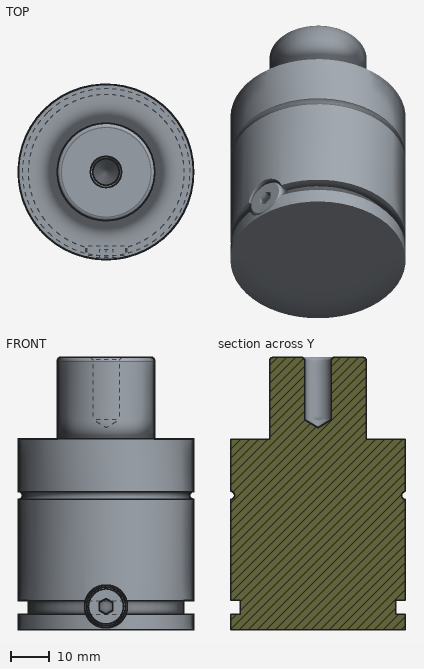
import cadquery as cq
import math

body_diameter = 45.0
body_height = 49.0
total_height = 70.0

rod_diameter = 25.0
rod_edge_radius = 1.0

tap_drill_diameter = 6.8
tap_mouth_diameter = 8.0
tap_depth = 16.0
drill_tip_angle = 118.0

ring_groove_radius = 1.0
ring_groove_z = 34.5

clamp_groove_diameter = 40.0
clamp_groove_bottom = 4.0
clamp_groove_width = 3.5

port_z = 6.0
port_diameter = 11.0
port_floor_radius = 19.0

plug_diameter = 10.0
plug_face_radius = 21.85
plug_chamfer = 0.5
hex_across_flats = 3.5
hex_depth = 2.0


def cylinder_along_y(diameter, y_start, y_end):
    """Cylinder on the port axis, from y_start towards -Y up to y_end."""
    plane = cq.Plane(origin=(0, y_start, port_z), xDir=(1, 0, 0), normal=(0, -1, 0))
    return cq.Workplane(plane).circle(diameter / 2).extrude(y_start - y_end)


def make_body():
    return cq.Workplane("XY").circle(body_diameter / 2).extrude(body_height)


def make_rod():
    rod = cq.Workplane("XY").workplane(offset=body_height).circle(rod_diameter / 2)
    rod = rod.extrude(total_height - body_height)
    return rod.faces(">Z").edges().fillet(rod_edge_radius)


def make_tapped_hole():
    """Drilled hole with a conical tip and a 45 degree countersunk mouth."""
    drill_radius = tap_drill_diameter / 2
    mouth_radius = tap_mouth_diameter / 2
    floor_z = total_height - tap_depth
    tip_z = floor_z - drill_radius / math.tan(math.radians(drill_tip_angle / 2))
    profile = (
        cq.Workplane("XZ")
        .moveTo(0, tip_z)
        .lineTo(drill_radius, floor_z)
        .lineTo(drill_radius, total_height - (mouth_radius - drill_radius))
        .lineTo(mouth_radius, total_height)
        .lineTo(0, total_height)
        .close()
    )
    return profile.revolve(360, (0, 0, 0), (0, 1, 0))


def make_ring_groove():
    """Half-round groove centred on the outer surface of the body."""
    section = cq.Workplane("XZ").center(body_diameter / 2, ring_groove_z).circle(ring_groove_radius)
    return section.revolve(360, (-body_diameter / 2, 0, 0), (-body_diameter / 2, 1, 0))


def make_clamp_groove():
    section = cq.Workplane("XY").workplane(offset=clamp_groove_bottom)
    section = section.circle(body_diameter / 2).circle(clamp_groove_diameter / 2)
    return section.extrude(clamp_groove_width)


def make_plug():
    plug = cylinder_along_y(plug_diameter, -port_floor_radius, -plug_face_radius)
    plug = plug.faces("<Y").edges().chamfer(plug_chamfer)
    socket_plane = cq.Plane(origin=(0, -plug_face_radius, port_z), xDir=(0, 0, 1), normal=(0, 1, 0))
    across_corners = hex_across_flats / math.cos(math.pi / 6)
    socket = cq.Workplane(socket_plane).polygon(6, across_corners).extrude(hex_depth)
    return plug.cut(socket)


port = cylinder_along_y(port_diameter, -port_floor_radius, -body_diameter / 2)

result = make_body().union(make_rod())
result = result.cut(make_tapped_hole())
result = result.cut(make_ring_groove())
result = result.cut(make_clamp_groove())
result = result.cut(port)
result = result.union(make_plug())